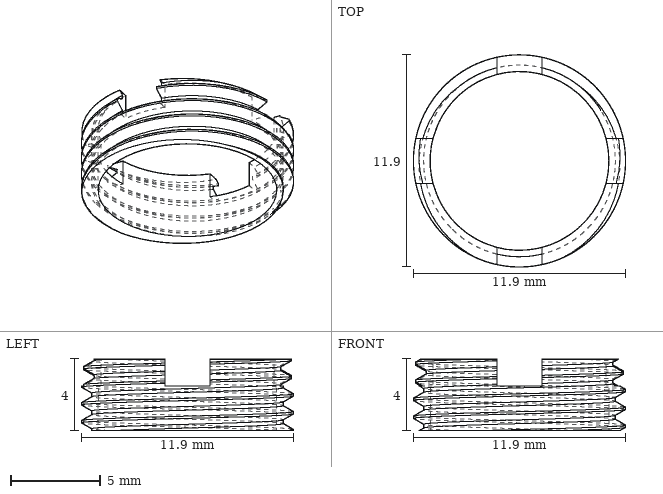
import cadquery as cq
import math

ring_height = 4.0
bore_diameter = 10.0
root_diameter = 10.74
crest_diameter = 11.89
pitch = 1.0
flank_half_angle = 30.0
crest_width = 0.125
slot_width = 2.5
slot_depth = 1.5

crest_height_at_minus_x = 0.75
turns_below_base = 2
turns_above_top = 1
root_overlap = 0.1
trim_margin = 1.0

root_radius = root_diameter / 2
crest_radius = crest_diameter / 2


def make_core():
    """Plain cylinder at the thread root."""
    return cq.Workplane("XY").circle(root_radius).extrude(ring_height)


def make_thread_ridge():
    """Right-hand trapezoidal ridge, overlong at both ends, sunk into the core."""
    turns = math.ceil(ring_height / pitch) + turns_below_base + turns_above_top
    base_radius = root_radius - root_overlap
    half_crest = crest_width / 2
    half_base = half_crest + (crest_radius - base_radius) * math.tan(math.radians(flank_half_angle))

    path = cq.Wire.makeHelix(pitch, turns * pitch, root_radius)
    ridge = (
        cq.Workplane("XZ")
        .moveTo(base_radius, -half_base)
        .lineTo(crest_radius, -half_crest)
        .lineTo(crest_radius, half_crest)
        .lineTo(base_radius, half_base)
        .close()
        .sweep(cq.Workplane(path), isFrenet=True)
    )
    start_height = crest_height_at_minus_x - turns_below_base * pitch
    return ridge.rotate((0, 0, 0), (0, 0, 1), 180).translate((0, 0, start_height))


def make_envelope():
    """Full-height cylinder that trims the thread flush with both end faces."""
    return cq.Workplane("XY").circle(crest_radius + trim_margin).extrude(ring_height)


def make_bore():
    return cq.Workplane("XY").circle(bore_diameter / 2).extrude(ring_height)


def make_slots():
    """Two crossing channels that notch the top rim in four places."""
    length = crest_diameter + 2 * trim_margin
    floor = cq.Workplane("XY").workplane(offset=ring_height - slot_depth)
    along_x = floor.rect(length, slot_width).extrude(slot_depth)
    along_y = floor.rect(slot_width, length).extrude(slot_depth)
    return along_x.union(along_y)


thread = make_thread_ridge().intersect(make_envelope())
result = make_core().union(thread).cut(make_bore()).cut(make_slots())